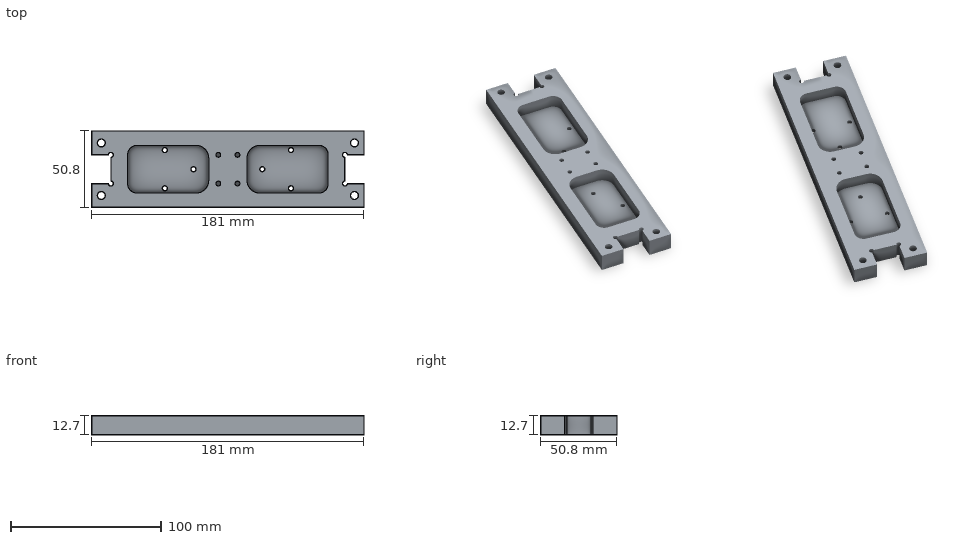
import cadquery as cq

LENGTH = 180.975
WIDTH = 50.8
THICKNESS = 12.7

NOTCH_DEPTH = 12.7
NOTCH_WIDTH = 19.05
RELIEF_DIAMETER = 3.175

MOUNT_DIAMETER = 5.08
MOUNT_X = LENGTH / 2 - NOTCH_DEPTH / 2
MOUNT_Y = (WIDTH / 2 + NOTCH_WIDTH / 2) / 2

POCKET_LENGTH = 53.975
POCKET_WIDTH = 31.75
POCKET_DEPTH = 9.525
POCKET_INNER_RADIUS = 8.6
POCKET_OUTER_RADIUS = 6.35
POCKET_INNER_WALL_X = 12.7
POCKET_CENTER_X = POCKET_INNER_WALL_X + POCKET_LENGTH / 2

SMALL_DIAMETER = 3.175
FLOOR_PAIR_X = 41.91
FLOOR_PAIR_Y = 12.7
FLOOR_SINGLE_X = 22.86
WEB_HOLE_X = 6.35
WEB_HOLE_Y = NOTCH_WIDTH / 2
WEB_HOLE_DEPTH = THICKNESS / 2


def mirrored_points(x, y):
    """Four points placed symmetrically about both centre planes."""
    return [(sx * x, sy * y) for sx in (-1, 1) for sy in (-1, 1)]


def drill(points, diameter, depth):
    """Vertical round cutters running down from the top face."""
    top = cq.Workplane("XY").workplane(offset=THICKNESS)
    return top.pushPoints(points).circle(diameter / 2).extrude(-depth)


def make_plate():
    return cq.Workplane("XY").box(LENGTH, WIDTH, THICKNESS, centered=(True, True, False))


def cut_end_notches(body):
    floor_x = LENGTH / 2 - NOTCH_DEPTH
    end_centers = [(-LENGTH / 2, 0), (LENGTH / 2, 0)]
    notches = (
        cq.Workplane("XY")
        .pushPoints(end_centers)
        .rect(2 * NOTCH_DEPTH, NOTCH_WIDTH)
        .extrude(THICKNESS)
    )
    reliefs = drill(mirrored_points(floor_x, NOTCH_WIDTH / 2), RELIEF_DIAMETER, THICKNESS)
    return body.cut(notches).cut(reliefs)


def make_right_pocket():
    """Cutter for the +X pocket; the corners nearest the plate middle are the larger ones."""
    return (
        cq.Workplane("XY")
        .workplane(offset=THICKNESS)
        .center(POCKET_CENTER_X, 0)
        .rect(POCKET_LENGTH, POCKET_WIDTH)
        .extrude(-POCKET_DEPTH)
        .edges("|Z and <X")
        .fillet(POCKET_INNER_RADIUS)
        .edges("|Z and >X")
        .fillet(POCKET_OUTER_RADIUS)
    )


def cut_pockets(body):
    right_pocket = make_right_pocket()
    left_pocket = right_pocket.mirror("YZ")
    return body.cut(right_pocket).cut(left_pocket)


def cut_holes(body):
    mounts = drill(mirrored_points(MOUNT_X, MOUNT_Y), MOUNT_DIAMETER, THICKNESS)
    floor_points = mirrored_points(FLOOR_PAIR_X, FLOOR_PAIR_Y)
    floor_points += [(-FLOOR_SINGLE_X, 0), (FLOOR_SINGLE_X, 0)]
    floor_holes = drill(floor_points, SMALL_DIAMETER, THICKNESS)
    web_holes = drill(mirrored_points(WEB_HOLE_X, WEB_HOLE_Y), SMALL_DIAMETER, WEB_HOLE_DEPTH)
    return body.cut(mounts).cut(floor_holes).cut(web_holes)


result = cut_holes(cut_pockets(cut_end_notches(make_plate())))